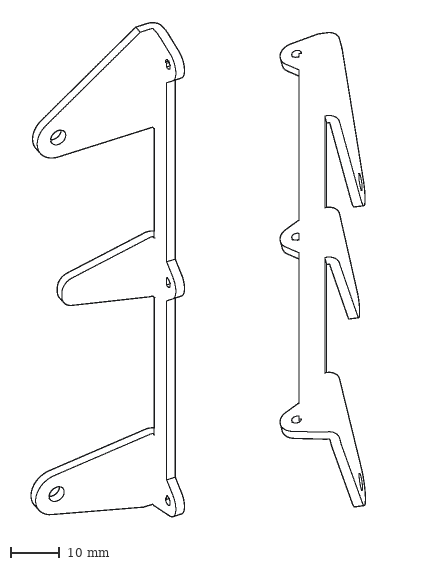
import cadquery as cq
import math

height = 120.0
thickness = 2.0
bend_inner_radius = 0.1
bend_outer_radius = bend_inner_radius + thickness

strip_left = 2.6
strip_right = 8.0

lug_radius = 3.5
lug_tip = 12.0
lug_center_x = lug_tip - lug_radius
lug_hole_diameter = 2.0
lug_end_offset = 5.0
lug_root_half_height = 4.9
top_lug_start_x = 4.1
lug_heights = (lug_end_offset, height / 2, height - lug_end_offset)

flange_radius = 4.9
flange_hole_diameter = 3.5
flange_taper_start = 2.6

top_flange_height = 25.0
top_flange_flat = 4.9
top_flange_hole_depth = 24.0

middle_flange_height = 15.0
middle_flange_depth = 23.2
middle_tip_flat = 1.1
middle_tip_radius = 3.0

bottom_flange_height = 17.9
bottom_flange_flat = 4.2
bottom_flange_hole_depth = 24.4
bottom_flange_hole_height = 10.2


def tangent_point(point, center, radius, side):
    """Touching point on a circle of a line from point; side is +1 or -1 (counterclockwise or not)."""
    dx = point[0] - center[0]
    dy = point[1] - center[1]
    angle = math.atan2(dy, dx) + side * math.acos(radius / math.hypot(dx, dy))
    return center[0] + radius * math.cos(angle), center[1] + radius * math.sin(angle)


def rounded_plate(plane, lower_edge, upper_edge, center, radius, hole_diameter):
    """Plate with straight edges running tangent into a round tip about a hole."""
    lower_touch = tangent_point(lower_edge[-1], center, radius, 1)
    upper_touch = tangent_point(upper_edge[-1], center, radius, -1)
    tip = (center[0] + radius, center[1])
    outline = (
        cq.Workplane(plane)
        .polyline(lower_edge + [lower_touch])
        .threePointArc(tip, upper_touch)
    )
    for point in reversed(upper_edge):
        outline = outline.lineTo(*point)
    plate = outline.close().extrude(thickness)
    hole = cq.Workplane(plane).center(*center).circle(hole_diameter / 2).extrude(thickness)
    return plate.cut(hole)


strip_plane = cq.Plane(origin=(0, 0, 0), xDir=(1, 0, 0), normal=(0, -1, 0))
flange_plane = cq.Plane(origin=(thickness, 0, 0), xDir=(0, -1, 0), normal=(-1, 0, 0))


def make_lug(z):
    lower_edge = [(strip_left, z - lug_root_half_height), (strip_right, z - lug_root_half_height)]
    upper_edge = [(strip_left, z + lug_root_half_height), (strip_right, z + lug_root_half_height)]
    if z == lug_heights[0]:
        lower_edge = [(strip_left, 0)]
    if z == lug_heights[-1]:
        upper_edge = [(strip_left, height), (top_lug_start_x, height)]
    return rounded_plate(
        strip_plane, lower_edge, upper_edge, (lug_center_x, z), lug_radius, lug_hole_diameter
    )


def make_strip():
    bottom = lug_heights[0]
    length = lug_heights[-1] - bottom
    width = strip_right - strip_left
    return (
        cq.Workplane("XY")
        .box(width, thickness, length, centered=False)
        .translate((strip_left, -thickness, bottom))
    )


def make_bend(bottom, bend_height):
    """Rounded corner joining a flange to the strip, with short flats up to both of them."""
    diagonal = math.sqrt(0.5)
    outer_mid = bend_outer_radius * (1 - diagonal)
    inner_mid = bend_outer_radius - bend_inner_radius * diagonal
    return (
        cq.Workplane("XY", origin=(0, 0, bottom))
        .moveTo(strip_left, 0)
        .lineTo(bend_outer_radius, 0)
        .threePointArc((outer_mid, -outer_mid), (0, -bend_outer_radius))
        .lineTo(0, -flange_taper_start)
        .lineTo(thickness, -flange_taper_start)
        .lineTo(thickness, -bend_outer_radius)
        .threePointArc((inner_mid, -inner_mid), (bend_outer_radius, -thickness))
        .lineTo(strip_left, -thickness)
        .close()
        .extrude(bend_height)
    )


def make_top_flange():
    bottom = height - top_flange_height
    center = (top_flange_hole_depth, bottom + flange_radius)
    lower_edge = [(flange_taper_start, bottom)]
    upper_edge = [(flange_taper_start, height), (top_flange_flat, height)]
    plate = rounded_plate(
        flange_plane, lower_edge, upper_edge, center, flange_radius, flange_hole_diameter
    )
    return plate.union(make_bend(bottom, top_flange_height))


def make_middle_flange():
    middle = height / 2
    half_height = middle_flange_height / 2
    half_flat = middle_tip_flat / 2
    corner_depth = middle_flange_depth - middle_tip_radius
    corner = (corner_depth, half_flat)
    root = (flange_taper_start, half_height)
    touch = tangent_point(root, corner, middle_tip_radius, -1)
    diagonal = middle_tip_radius * math.sqrt(0.5)
    arc_mid = (corner_depth + diagonal, half_flat + diagonal)
    plate = (
        cq.Workplane(flange_plane)
        .moveTo(root[0], middle - root[1])
        .lineTo(touch[0], middle - touch[1])
        .threePointArc((arc_mid[0], middle - arc_mid[1]), (middle_flange_depth, middle - half_flat))
        .lineTo(middle_flange_depth, middle + half_flat)
        .threePointArc((arc_mid[0], middle + arc_mid[1]), (touch[0], middle + touch[1]))
        .lineTo(root[0], middle + root[1])
        .close()
        .extrude(thickness)
    )
    return plate.union(make_bend(middle - half_height, middle_flange_height))


def make_bottom_flange():
    center = (bottom_flange_hole_depth, bottom_flange_hole_height)
    lower_edge = [(flange_taper_start, 0), (bottom_flange_flat, 0)]
    upper_edge = [(flange_taper_start, bottom_flange_height)]
    plate = rounded_plate(
        flange_plane, lower_edge, upper_edge, center, flange_radius, flange_hole_diameter
    )
    return plate.union(make_bend(0, bottom_flange_height))


result = make_strip()
for lug_height in lug_heights:
    result = result.union(make_lug(lug_height))
for flange in (make_top_flange(), make_middle_flange(), make_bottom_flange()):
    result = result.union(flange)